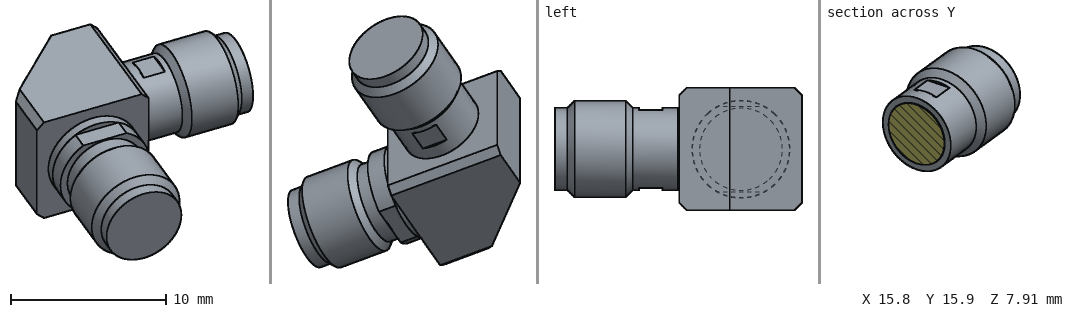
import cadquery as cq

BLOCK_SIDE = 7.91
BLOCK_HEIGHT = BLOCK_SIDE
CORNER_CUT = 4.65
EDGE_CHAMFER = 0.5

BARREL_RADIUS = 2.66
THREAD_RADIUS = 3.12
THREAD_LENGTH = 4.2
THREAD_CHAMFER = THREAD_RADIUS - BARREL_RADIUS
TIP_LENGTH = 0.81

X_REACH = 7.88
SPACER_THICKNESS = 0.67
FLANGE_RADIUS = 3.15
FLANGE_LENGTH = 1.2
FLANGE_FLAT_HEIGHT = 2.75
X_CONNECTOR_LENGTH = X_REACH - SPACER_THICKNESS

Y_CONNECTOR_LENGTH = 8.0
NECK_RADIUS = 2.2
NECK_LENGTH = 0.1
POCKET_START = 1.08
POCKET_LENGTH = 1.5
POCKET_HEIGHT = 2.52

HALF_SIDE = BLOCK_SIDE / 2


def make_housing():
    """Block centred on the origin, cut off at its -X, -Y corner."""
    block = cq.Workplane("XY").box(BLOCK_SIDE, BLOCK_SIDE, BLOCK_HEIGHT)
    block = block.edges("|X").chamfer(EDGE_CHAMFER)
    corner = (
        cq.Workplane("XY")
        .workplane(offset=-BLOCK_HEIGHT / 2)
        .moveTo(-HALF_SIDE, -HALF_SIDE)
        .lineTo(-HALF_SIDE + CORNER_CUT, -HALF_SIDE)
        .lineTo(-HALF_SIDE, -HALF_SIDE + CORNER_CUT)
        .close()
        .extrude(BLOCK_HEIGHT)
    )
    return block.cut(corner)


def make_spacer():
    """Round spacer between the +X side of the housing and the connector flange."""
    return cq.Workplane("YZ").workplane(offset=HALF_SIDE).circle(FLANGE_RADIUS).extrude(SPACER_THICKNESS)


def make_connector(length, base_radius, base_length):
    """Turned connector lying along +X, its seat at the origin."""
    thread_end = length - TIP_LENGTH
    thread_start = thread_end - THREAD_LENGTH
    profile = [
        (0, 0),
        (0, base_radius),
        (base_length, base_radius),
        (base_length, BARREL_RADIUS),
        (thread_start, BARREL_RADIUS),
        (thread_start + THREAD_CHAMFER, THREAD_RADIUS),
        (thread_end - THREAD_CHAMFER, THREAD_RADIUS),
        (thread_end, BARREL_RADIUS),
        (length, BARREL_RADIUS),
        (length, 0),
    ]
    return cq.Workplane("XY").polyline(profile).close().revolve(360, (0, 0, 0), (1, 0, 0))


def cut_flats(connector, start, length, flat_height):
    """Mill parallel flats above and below the connector axis, flat_height away from it."""
    middle = start + length / 2
    width = 2 * FLANGE_RADIUS
    for side in (1, -1):
        height = side * (flat_height + FLANGE_RADIUS / 2)
        cutter = cq.Workplane("XY").box(length, width, FLANGE_RADIUS)
        connector = connector.cut(cutter.translate((middle, 0, height)))
    return connector


def make_x_connector():
    """Connector seated on the spacer, its flange carrying the wrench flats."""
    connector = make_connector(X_CONNECTOR_LENGTH, FLANGE_RADIUS, FLANGE_LENGTH)
    connector = cut_flats(connector, 0, FLANGE_LENGTH, FLANGE_FLAT_HEIGHT)
    return connector.translate((HALF_SIDE + SPACER_THICKNESS, 0, 0))


def make_y_connector():
    """Connector with a short neck and wrench pockets, turned to point along +Y."""
    connector = make_connector(Y_CONNECTOR_LENGTH, NECK_RADIUS, NECK_LENGTH)
    connector = cut_flats(connector, POCKET_START, POCKET_LENGTH, POCKET_HEIGHT)
    return connector.rotate((0, 0, 0), (0, 0, 1), 90).translate((0, HALF_SIDE, 0))


housing = make_housing()
spacer = make_spacer()
x_connector = make_x_connector()
y_connector = make_y_connector()

result = cq.Compound.makeCompound(
    [housing.val(), spacer.val(), x_connector.val(), y_connector.val()]
)